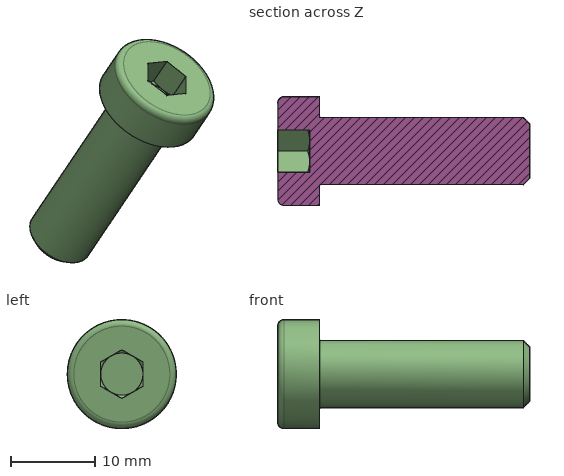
import cadquery as cq
import math

total_length = 30.0
head_diameter = 13.0
head_height = 5.0
head_fillet = 0.78
shank_diameter = 8.0
tip_chamfer = 0.78
neck_fillet = 0.12
socket_width = 5.0
socket_depth = 3.8
corner_slope = 30.0

head_face_x = -total_length / 2
socket_corner_diameter = socket_width / math.cos(math.pi / 6)


def make_head():
    """Cylindrical head with a rounded outer rim."""
    head = cq.Workplane("YZ", origin=(head_face_x, 0, 0)).circle(head_diameter / 2).extrude(head_height)
    return head.faces("<X").edges().fillet(head_fillet)


def make_shank():
    """Plain shank with a chamfered tip."""
    shank = cq.Workplane("YZ", origin=(head_face_x, 0, 0)).circle(shank_diameter / 2).extrude(total_length)
    return shank.faces(">X").edges().chamfer(tip_chamfer)


def make_socket():
    """Hexagonal socket, two corners along Z, with a flat round floor and sloped corners."""
    hexagon = (
        cq.Workplane("YZ", origin=(head_face_x, 0, 0))
        .transformed(rotate=(0, 0, 90))
        .polygon(6, socket_corner_diameter)
        .extrude(socket_depth)
    )
    floor_bevel = (socket_corner_diameter - socket_width) / 2
    bevel_depth = floor_bevel * math.tan(math.radians(corner_slope))
    envelope = (
        cq.Workplane("YZ", origin=(head_face_x, 0, 0))
        .circle(socket_corner_diameter / 2)
        .extrude(socket_depth)
        .faces(">X")
        .edges()
        .chamfer(bevel_depth, floor_bevel)
    )
    return hexagon.intersect(envelope)


def round_under_head(screw):
    """Small fillet where the shank meets the underside of the head."""
    underside_x = head_face_x + head_height
    slab = cq.selectors.BoxSelector(
        (underside_x - neck_fillet, -0.3, -0.3),
        (underside_x + neck_fillet, 0.3, 0.3),
    )
    smallest_circle = cq.selectors.RadiusNthSelector(0)
    return screw.faces(slab).edges(smallest_circle).fillet(neck_fillet)


screw = round_under_head(make_head().union(make_shank()))
result = screw.cut(make_socket())